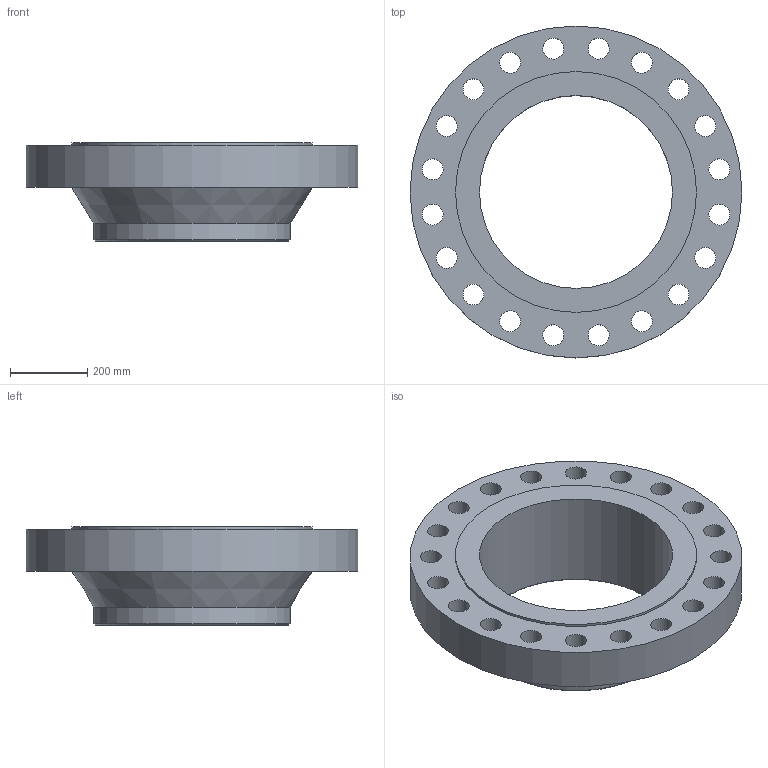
import cadquery as cq

flange_diameter = 857.25
flange_thickness = 107.95
overall_height = 254.0

raised_face_diameter = 622.3
raised_face_height = 6.35

hub_base_diameter = 622.3
neck_diameter = 508.0
neck_length = 46.0
bore_diameter = 498.4
weld_bevel_height = 4.0
weld_bevel_width = 4.0

bolt_count = 20
bolt_circle_diameter = 749.3
bolt_hole_diameter = 53.975

flange_top = overall_height - raised_face_height
flange_bottom = flange_top - flange_thickness


def revolved_body():
    """Flange, raised face, hub and bored neck as one turned profile."""
    bore_radius = bore_diameter / 2
    neck_radius = neck_diameter / 2
    flange_radius = flange_diameter / 2
    raised_face_radius = raised_face_diameter / 2
    profile = [
        (bore_radius, 0),
        (neck_radius - weld_bevel_width, 0),
        (neck_radius, weld_bevel_height),
        (neck_radius, neck_length),
        (hub_base_diameter / 2, flange_bottom),
        (flange_radius, flange_bottom),
        (flange_radius, flange_top),
        (raised_face_radius, flange_top),
        (raised_face_radius, overall_height),
        (bore_radius, overall_height),
    ]
    axis_start = (0, 0)
    axis_end = (0, 1)
    return cq.Workplane("XZ").polyline(profile).close().revolve(360, axis_start, axis_end)


def bolt_holes():
    """Cylinders running the full height of the flange on the bolt circle."""
    half_pitch_angle = 180 / bolt_count
    return (
        cq.Workplane("XY")
        .workplane(offset=flange_bottom)
        .polarArray(bolt_circle_diameter / 2, half_pitch_angle, 360, bolt_count)
        .circle(bolt_hole_diameter / 2)
        .extrude(flange_thickness)
    )


result = revolved_body().cut(bolt_holes())